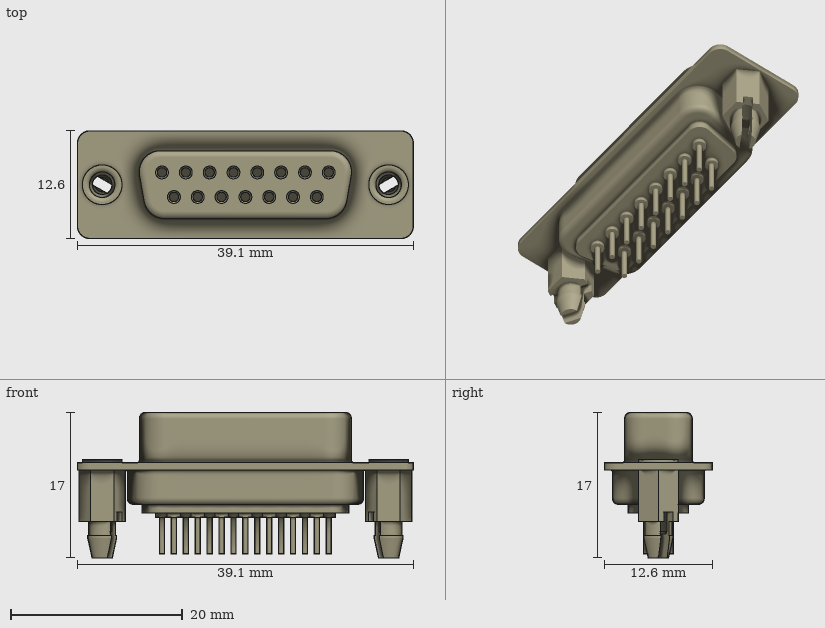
import cadquery as cq
import math


FLANGE_LENGTH = 39.15
FLANGE_WIDTH = 12.55
FLANGE_THICKNESS = 0.85
FLANGE_CORNER_RADIUS = 1.5

SIDE_ANGLE = 10.0
SELECTION_MARGIN = 0.05

SHELL_HEIGHT = 5.87
SHELL_HALF_WIDTH = 12.15
SHELL_DEPTH = 7.9
SHELL_CORNER_RADIUS = 2.45
SHELL_TOP_ROUND = 0.8
SHELL_FLARE = 0.27

REAR_BOTTOM = -4.85
REAR_HALF_WIDTH = 13.3
REAR_DEPTH = 10.7
REAR_CORNER_RADIUS = 2.62
REAR_BOTTOM_ROUND = 0.7
REAR_FLARE = 0.2

INSULATOR_BOTTOM = -5.87
INSULATOR_HALF_WIDTH = 11.7
INSULATOR_DEPTH = 7.05
INSULATOR_CORNER_RADIUS = 1.45

LONG_ROW_COUNT = 8
SHORT_ROW_COUNT = LONG_ROW_COUNT - 1
LONG_ROW_LENGTH = 19.4
CONTACT_PITCH = LONG_ROW_LENGTH / (LONG_ROW_COUNT - 1)
ROW_SPACING = 2.85
COLLAR_RADIUS = 0.8
COLLAR_BOTTOM = -6.38
PIN_RADIUS = 0.3
PIN_BOTTOM = -10.6
SOCKET_RADIUS = 0.55
SOCKET_MOUTH_RADIUS = 0.75
SOCKET_MOUTH_DEPTH = 0.25
SOCKET_DEPTH = 3.9

LOCK_X = 16.67
EYELET_RADIUS = 2.3
EYELET_HEIGHT = 0.35
EYELET_MOUTH_ROUND = 0.55
EYELET_BORE_RADIUS = 1.5
EYELET_BORE_BOTTOM = -1.55
HEX_CORNER_RADIUS = 2.7
HEX_BOTTOM = -6.85
NECK_RADIUS = 1.55
BARB_RADIUS = 1.7
BARB_TOP = -8.45
BARB_BOTTOM = -8.8
TIP_RADIUS = 1.17
TIP_BOTTOM = -11.1
CLIP_BORE_RADIUS = 1.15
CLIP_BORE_BOTTOM = -8.3
CLIP_BORE_CHAMFER = 0.3
SLOT_WIDTH = 1.17
SLOT_TOP = -5.7
SLOT_ANGLE = 30.0


def side_lean(depth):
    """How far a slanted side runs outwards between Y = 0 and its +Y corner."""
    return depth / 2 * math.tan(math.radians(SIDE_ANGLE))


def d_body(half_width, depth, corner_radius, bottom, top):
    """D-shaped prism, wider towards +Y, with rounded upright corners."""
    half_depth = depth / 2
    lean = side_lean(depth)
    outline = [
        (half_width + lean, half_depth),
        (-half_width - lean, half_depth),
        (-half_width + lean, -half_depth),
        (half_width - lean, -half_depth),
    ]
    prism = cq.Workplane("XY").workplane(offset=bottom).polyline(outline).close().extrude(top - bottom)
    return prism.edges("|Z").fillet(corner_radius)


def cylinder(radius, bottom, top):
    return cq.Workplane("XY").workplane(offset=bottom).circle(radius).extrude(top - bottom)


def root_edges(half_width, depth, level):
    """Selector for the edges where a D-shaped body meets the flange."""
    reach_x = half_width + side_lean(depth) + SELECTION_MARGIN
    reach_y = depth / 2 + SELECTION_MARGIN
    lower_corner = (-reach_x, -reach_y, level - SELECTION_MARGIN)
    upper_corner = (reach_x, reach_y, level + SELECTION_MARGIN)
    return cq.selectors.BoxSelector(lower_corner, upper_corner)


def housing():
    """Flange with the mating shell above and the rear body and insulator below."""
    flange = (
        cq.Workplane("XY")
        .box(FLANGE_LENGTH, FLANGE_WIDTH, FLANGE_THICKNESS, centered=(True, True, False))
        .translate((0, 0, -FLANGE_THICKNESS))
        .edges("|Z")
        .fillet(FLANGE_CORNER_RADIUS)
    )
    shell = d_body(SHELL_HALF_WIDTH, SHELL_DEPTH, SHELL_CORNER_RADIUS, -FLANGE_THICKNESS, SHELL_HEIGHT)
    shell = shell.faces(">Z").edges().fillet(SHELL_TOP_ROUND)
    rear = d_body(REAR_HALF_WIDTH, REAR_DEPTH, REAR_CORNER_RADIUS, REAR_BOTTOM, -FLANGE_THICKNESS)
    rear = rear.faces("<Z").edges().fillet(REAR_BOTTOM_ROUND)
    insulator = d_body(
        INSULATOR_HALF_WIDTH, INSULATOR_DEPTH, INSULATOR_CORNER_RADIUS, INSULATOR_BOTTOM, REAR_BOTTOM
    )
    body = flange.union(shell).union(rear)
    body = body.edges(root_edges(SHELL_HALF_WIDTH, SHELL_DEPTH, 0)).fillet(SHELL_FLARE)
    body = body.edges(root_edges(REAR_HALF_WIDTH, REAR_DEPTH, -FLANGE_THICKNESS)).fillet(REAR_FLARE)
    return body.union(insulator)


def contact_positions():
    rows = [(LONG_ROW_COUNT, ROW_SPACING / 2), (SHORT_ROW_COUNT, -ROW_SPACING / 2)]
    return [
        ((index - (count - 1) / 2) * CONTACT_PITCH, y)
        for count, y in rows
        for index in range(count)
    ]


def contact_tail():
    """Solder pin with its collar under the insulator."""
    collar = cylinder(COLLAR_RADIUS, COLLAR_BOTTOM, INSULATOR_BOTTOM)
    return collar.union(cylinder(PIN_RADIUS, PIN_BOTTOM, INSULATOR_BOTTOM))


def contact_socket():
    """Blind hole with a countersunk mouth, as a cutting tool."""
    profile = [
        (0, SHELL_HEIGHT),
        (SOCKET_MOUTH_RADIUS, SHELL_HEIGHT),
        (SOCKET_RADIUS, SHELL_HEIGHT - SOCKET_MOUTH_DEPTH),
        (SOCKET_RADIUS, SHELL_HEIGHT - SOCKET_DEPTH),
        (0, SHELL_HEIGHT - SOCKET_DEPTH),
    ]
    return cq.Workplane("XZ").polyline(profile).close().revolve(360, (0, 0, 0), (0, 1, 0))


def lock_body():
    """Eyelet rim, standoff and clip of one board lock, without its bore and slot."""
    eyelet = cylinder(EYELET_RADIUS, -FLANGE_THICKNESS, EYELET_HEIGHT)
    standoff = (
        cq.Workplane("XY")
        .workplane(offset=HEX_BOTTOM)
        .polygon(6, 2 * HEX_CORNER_RADIUS)
        .extrude(-FLANGE_THICKNESS - HEX_BOTTOM)
    )
    clip_profile = [
        (0, HEX_BOTTOM),
        (NECK_RADIUS, HEX_BOTTOM),
        (NECK_RADIUS, BARB_TOP),
        (BARB_RADIUS, BARB_TOP),
        (BARB_RADIUS, BARB_BOTTOM),
        (TIP_RADIUS, TIP_BOTTOM),
        (0, TIP_BOTTOM),
    ]
    clip = cq.Workplane("XZ").polyline(clip_profile).close().revolve(360, (0, 0, 0), (0, 1, 0))
    return eyelet.union(standoff).union(clip)


def lock_bore():
    """Blind bore with a bell mouth and a 45 degree step, as a cutting tool."""
    mouth_radius = EYELET_BORE_RADIUS + EYELET_MOUTH_ROUND
    mouth_bottom = EYELET_HEIGHT - EYELET_MOUTH_ROUND
    arc_reach = EYELET_MOUTH_ROUND * math.sin(math.radians(45))
    arc_middle = (mouth_radius - arc_reach, mouth_bottom + arc_reach)
    bore_step = EYELET_BORE_RADIUS - CLIP_BORE_RADIUS
    return (
        cq.Workplane("XZ")
        .moveTo(0, EYELET_HEIGHT)
        .lineTo(mouth_radius, EYELET_HEIGHT)
        .threePointArc(arc_middle, (EYELET_BORE_RADIUS, mouth_bottom))
        .lineTo(EYELET_BORE_RADIUS, EYELET_BORE_BOTTOM)
        .lineTo(CLIP_BORE_RADIUS, EYELET_BORE_BOTTOM - bore_step)
        .lineTo(CLIP_BORE_RADIUS, CLIP_BORE_BOTTOM + CLIP_BORE_CHAMFER)
        .lineTo(CLIP_BORE_RADIUS - CLIP_BORE_CHAMFER, CLIP_BORE_BOTTOM)
        .lineTo(0, CLIP_BORE_BOTTOM)
        .close()
        .revolve(360, (0, 0, 0), (0, 1, 0))
    )


def lock_slot(angle):
    """Slot that splits the clip and notches two standoff faces, as a cutting tool."""
    return (
        cq.Workplane("XY")
        .box(2 * HEX_CORNER_RADIUS, SLOT_WIDTH, SLOT_TOP - TIP_BOTTOM, centered=(True, True, False))
        .rotate((0, 0, 0), (0, 0, 1), angle)
        .translate((0, 0, TIP_BOTTOM))
    )


result = housing()

for x, y in contact_positions():
    result = result.union(contact_tail().translate((x, y, 0)))
    result = result.cut(contact_socket().translate((x, y, 0)))

for side in (-1, 1):
    lock_center = (side * LOCK_X, 0, 0)
    result = result.union(lock_body().translate(lock_center))
    result = result.cut(lock_bore().translate(lock_center))
    result = result.cut(lock_slot(side * SLOT_ANGLE).translate(lock_center))